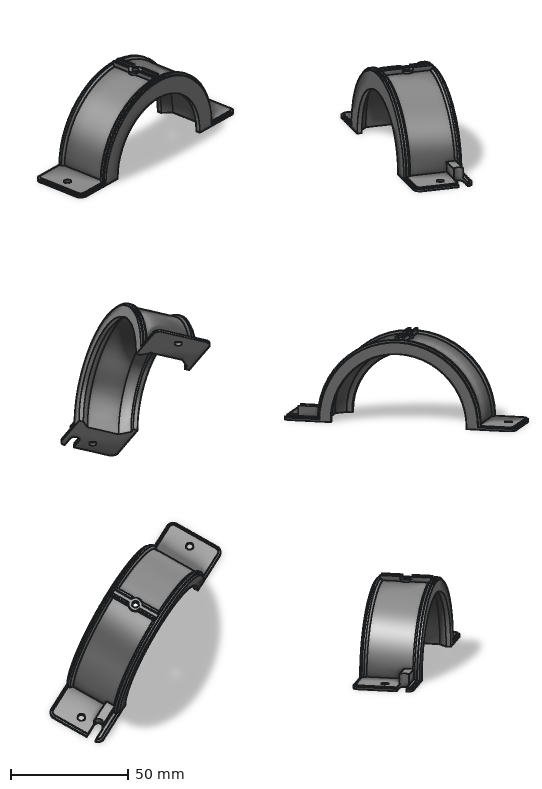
import cadquery as cq

width = 26.0
length = 102.0
height = 38.0
half_width = width / 2
half_length = length / 2

step = 1.0
flange_thickness = 1.6
corner_radius = 3.0
arch_radius = 35.0
shell_thickness = 1.5
end_wall = 2.0
opening_radius = 30.0
taper_end_radius = 29.5
small_opening_radius = 27.0

ridge_radius = arch_radius + step
inner_radius = arch_radius - shell_thickness
ridge_outer_x = half_width - step
ridge_inner_x = ridge_outer_x - step
recess_x = ridge_inner_x - step
wall_x = half_width - end_wall
left_taper_x = -wall_x + inner_radius - opening_radius
right_taper_x = wall_x - inner_radius + taper_end_radius
mid_shell_radius = arch_radius - shell_thickness / 2

hole_diameter = 3.2
hole_y = 45.0

slot_width = 4.2
slot_x = -8.4
slot_centre_y = hole_y
block_height = 6.0

rail_outer_y = 2.0
rail_inner_y = 1.0
boss_radius = 3.0
crown_hole_diameter = 3.0
crown_floor = step + ridge_radius
crown_base = step + mid_shell_radius


def box(x0, x1, y0, y1, z0, z1):
    """Box between two opposite corners."""
    return cq.Workplane("XY").box(x1 - x0, y1 - y0, z1 - z0, centered=False).translate((x0, y0, z0))


def cylinder(x, y, radius, z0, z1):
    """Upright cylinder between two heights."""
    return cq.Workplane("XY", origin=(x, y, z0)).circle(radius).extrude(z1 - z0)


def make_arch():
    """Half turn of the wall section, with both feet carried straight down to the base."""
    section = [
        (-half_width, opening_radius),
        (-half_width, arch_radius),
        (-ridge_outer_x, arch_radius),
        (-ridge_outer_x, ridge_radius),
        (-ridge_inner_x, ridge_radius),
        (-recess_x, arch_radius),
        (recess_x, arch_radius),
        (ridge_inner_x, ridge_radius),
        (ridge_outer_x, ridge_radius),
        (ridge_outer_x, arch_radius),
        (half_width, arch_radius),
        (half_width, small_opening_radius),
        (wall_x, small_opening_radius),
        (wall_x, taper_end_radius),
        (right_taper_x, inner_radius),
        (left_taper_x, inner_radius),
        (-wall_x, opening_radius),
    ]
    foot_outline = cq.Workplane("XY").polyline(section).close().wire().val()
    crown = cq.Workplane("XY").add(foot_outline).toPending().revolve(180, (0, 0, 0), (1, 0, 0))
    arch = crown.translate((0, 0, step))
    foot = cq.Workplane("XY").add(foot_outline).toPending().extrude(step)
    return arch.union(foot).union(foot.mirror("XZ"))


def make_flanges():
    """Two-step base plate with rounded corners, open under the arch."""
    lower = box(-half_width, half_width, -half_length, half_length, 0, step)
    lower = lower.edges("|Z").fillet(corner_radius)
    upper = box(-ridge_outer_x, ridge_outer_x, step - half_length, half_length - step, 0, flange_thickness)
    upper = upper.edges("|Z").fillet(corner_radius - step)
    under_arch = box(-half_width, half_width, -mid_shell_radius, mid_shell_radius, 0, flange_thickness)
    flanges = lower.union(upper).cut(under_arch)
    for y in (-hole_y, hole_y):
        flanges = flanges.cut(cylinder(0, y, hole_diameter / 2, 0, flange_thickness))
    return flanges


def make_slot_block():
    """Block as wide as the slot, between the arch and the slot centre."""
    block = box(
        slot_x - slot_width / 2, slot_x + slot_width / 2,
        0, slot_centre_y,
        0, block_height,
    )
    arch_core = (
        cq.Workplane("YZ", origin=(-half_width, 0, step))
        .circle(mid_shell_radius)
        .extrude(width)
    )
    foot_core = box(-half_width, half_width, 0, mid_shell_radius, 0, step)
    return block.cut(arch_core).cut(foot_core)


def make_slot():
    """Round-ended slot, open at the +Y end."""
    slot = box(
        slot_x - slot_width / 2, slot_x + slot_width / 2,
        slot_centre_y, half_length,
        0, block_height,
    )
    return slot.union(cylinder(slot_x, slot_centre_y, slot_width / 2, 0, block_height))


def make_crown():
    """Cross bar with a rail along each side, both interrupted by the round boss."""
    bar = box(-ridge_inner_x, ridge_inner_x, -rail_outer_y, rail_outer_y, crown_base, height)
    channel = box(-ridge_inner_x, ridge_inner_x, -rail_inner_y, rail_inner_y, crown_floor, height)
    boss_clearance = cylinder(0, 0, boss_radius, crown_floor, height)
    boss = cylinder(0, 0, boss_radius, crown_base, crown_floor)
    return bar.cut(channel).cut(boss_clearance).union(boss)


result = make_arch().union(make_flanges()).union(make_slot_block())
result = result.cut(make_slot())
result = result.union(make_crown())
result = result.cut(cylinder(0, 0, crown_hole_diameter / 2, inner_radius, height))